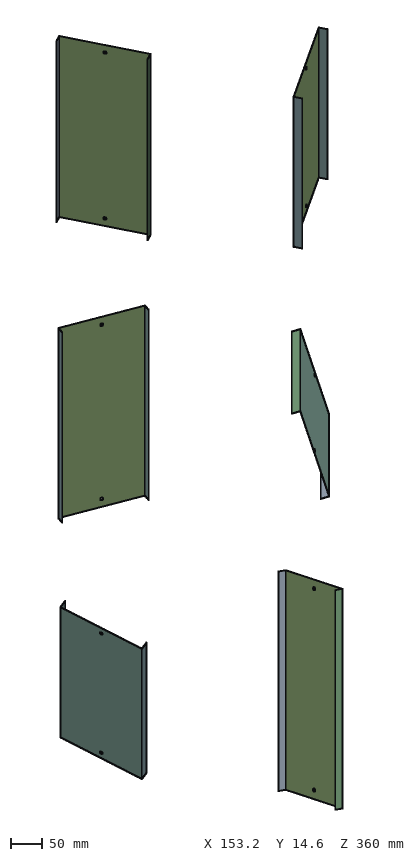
import cadquery as cq

width = 153.2
depth = 14.6
height = 360.0
sheet_thickness = 0.6

hole_diameter = 5.0
hole_edge_distance = 15.0


def channel():
    """Web on the +Y side with a flange along each long edge, pointing to -Y."""
    inner_width = width - 2 * sheet_thickness
    block = cq.Workplane("XY").box(width, depth, height)
    hollow = (
        cq.Workplane("XY")
        .box(inner_width, depth, height)
        .translate((0, -sheet_thickness, 0))
    )
    return block.cut(hollow)


def mounting_holes():
    """Cutters along Y, one near each end of the web."""
    hole_height = height / 2 - hole_edge_distance
    return (
        cq.Workplane("XZ")
        .pushPoints([(0, -hole_height), (0, hole_height)])
        .circle(hole_diameter / 2)
        .extrude(depth, both=True)
    )


result = channel().cut(mounting_holes())